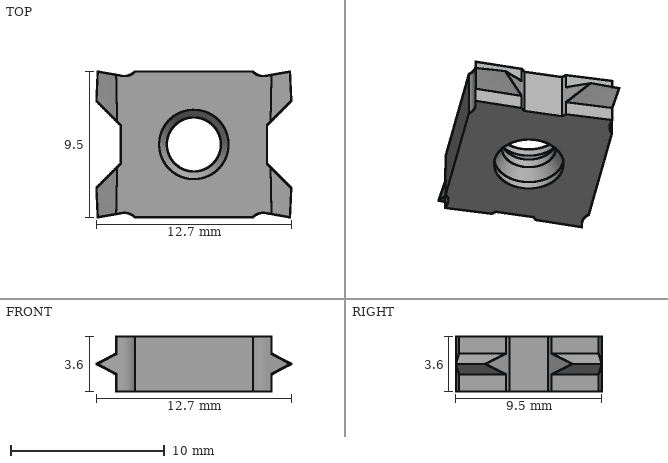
import cadquery as cq
import math

LENGTH = 12.7
WIDTH = 9.5
THICKNESS = 3.6
HALF_LENGTH = LENGTH / 2
HALF_WIDTH = WIDTH / 2

CORNER_X = 6.26
TIP_INNER_Y = 2.83
RELIEF_ANGLE = 10.0
TOOTH_ROOT_HALF_HEIGHT = 0.69
ROOT_OUTER_X = 5.05
ROOT_INNER_X = 4.99

WAIST_X = 4.76
RELIEF_ARC_START_X = 4.67
RELIEF_ARC_END_X = 3.84

HOLE_RADIUS = 1.75
MOUTH_RADIUS = 2.26
MOUTH_DEPTH = 0.58
CONE_DEPTH = 0.86


def relief_y(x):
    """Y of the sloping outer flank of a tooth at a given X."""
    return HALF_WIDTH - (CORNER_X - x) * math.tan(math.radians(RELIEF_ANGLE))


def inner_flank_y(x):
    """Y of the 45 degree inner flank of a tooth at a given X."""
    return TIP_INNER_Y - (HALF_LENGTH - x)


ROOT_OUTER = (ROOT_OUTER_X, relief_y(ROOT_OUTER_X))
ROOT_INNER = (ROOT_INNER_X, inner_flank_y(ROOT_INNER_X))


def in_all_quadrants(shape):
    """The quadrant shape joined with its mirror images across X and Y."""
    half = shape.union(shape.mirror("YZ"))
    return half.union(half.mirror("XZ"))


def make_plate_quadrant():
    """One quarter of the plate without its tooth."""
    return (
        cq.Workplane("XY", origin=(0, 0, -THICKNESS / 2))
        .lineTo(WAIST_X, 0)
        .lineTo(WAIST_X, inner_flank_y(WAIST_X))
        .lineTo(*ROOT_INNER)
        .lineTo(*ROOT_OUTER)
        .lineTo(RELIEF_ARC_START_X, relief_y(RELIEF_ARC_START_X))
        .tangentArcPoint((RELIEF_ARC_END_X, HALF_WIDTH), relative=False)
        .lineTo(0, HALF_WIDTH)
        .close()
        .extrude(THICKNESS)
    )


def make_tooth():
    """Wedge from a level root rectangle on the plate to a slightly skewed cutting edge."""
    z = TOOTH_ROOT_HALF_HEIGHT
    tip_outer = cq.Vector(CORNER_X, HALF_WIDTH, 0)
    tip_inner = cq.Vector(HALF_LENGTH, TIP_INNER_Y, 0)
    top_outer = cq.Vector(*ROOT_OUTER, z)
    top_inner = cq.Vector(*ROOT_INNER, z)
    bottom_outer = cq.Vector(*ROOT_OUTER, -z)
    bottom_inner = cq.Vector(*ROOT_INNER, -z)

    def flat_face(*corners):
        return cq.Face.makeFromWires(cq.Wire.makePolygon(corners, close=True))

    tip_edge = cq.Edge.makeLine(tip_outer, tip_inner)
    faces = [
        cq.Face.makeRuledSurface(tip_edge, cq.Edge.makeLine(top_outer, top_inner)),
        cq.Face.makeRuledSurface(tip_edge, cq.Edge.makeLine(bottom_outer, bottom_inner)),
        flat_face(tip_outer, top_outer, bottom_outer),
        flat_face(tip_inner, top_inner, bottom_inner),
        flat_face(top_outer, top_inner, bottom_inner, bottom_outer),
    ]
    return cq.Workplane(cq.Solid.makeSolid(cq.Shell.makeShell(faces)).fix())


def make_hole():
    """Revolved cutter: straight mouths, cones and a narrow middle bore."""
    face_z = THICKNESS / 2
    mouth_z = face_z - MOUTH_DEPTH
    bore_z = mouth_z - CONE_DEPTH
    profile = [
        (0, -face_z),
        (MOUTH_RADIUS, -face_z),
        (MOUTH_RADIUS, -mouth_z),
        (HOLE_RADIUS, -bore_z),
        (HOLE_RADIUS, bore_z),
        (MOUTH_RADIUS, mouth_z),
        (MOUTH_RADIUS, face_z),
        (0, face_z),
    ]
    return cq.Workplane("XZ").polyline(profile).close().revolve(360, (0, 0), (0, 1))


plate = in_all_quadrants(make_plate_quadrant()).clean()
teeth = in_all_quadrants(make_tooth())
result = plate.union(teeth).cut(make_hole())